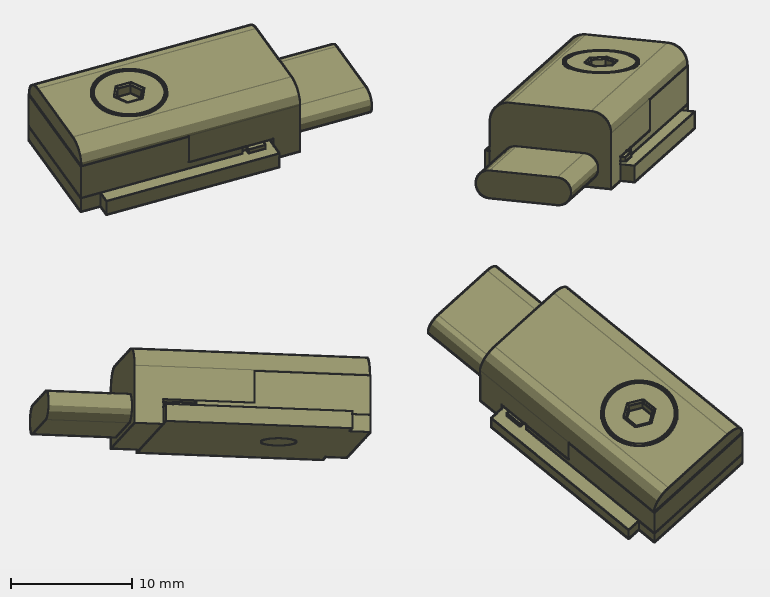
import cadquery as cq

BODY_WIDTH = 10.55
BODY_HEIGHT = 6.6
BODY_LENGTH = 19.8
EDGE_RADIUS = 1.75
FRONT_SETBACK = 0.05

PLATE_THICKNESS = 1.45
PLATE_LENGTH = 17.4
FLANGE_WIDTH = 13.0
FLANGE_FRONT = 1.77

PLUG_WIDTH = 8.3
PLUG_THICKNESS = 2.4
PLUG_END = 26.8
PLUG_START = 14.83
PLUG_CENTRE_Z = 1.7

BOARD_THICKNESS = 0.4
EAR_SPAN = 10.9
EAR_FRONT = 15.1
EAR_BACK = 16.62
BOARD_WIDTH = 9.92

SEAM_DROP = 0.08
SPACER_TOP = BODY_HEIGHT - EDGE_RADIUS - SEAM_DROP
SPACER_LENGTH = 9.75
TONGUE_TOP = 2.1
TONGUE_END = 14.6

SCREW_Y = 6.73
HEAD_DIAMETER = 6.1
HEAD_HEIGHT = 1.35
HEAD_CHAMFER = 0.13
HEAD_HOLE_DIAMETER = 6.3
SHANK_DIAMETER = 2.92
SHANK_HOLE_DIAMETER = 3.08
HEX_ACROSS_FLATS = 2.0
HEX_MOUTH_ACROSS_FLATS = 2.39
HEX_CHAMFER_DEPTH = 0.13
HEX_DEPTH = 1.0
HEX_CORNER_RATIO = 2 / 3 ** 0.5


def block(width, y_start, y_end, z_start, z_end):
    """Box centred on X between the given Y and Z limits."""
    size = (width, y_end - y_start, z_end - z_start)
    box = cq.Workplane("XY").box(*size, centered=(True, False, False))
    return box.translate((0, y_start, z_start))


def screw_cylinder(diameter, z_start, z_end):
    """Upright cylinder on the screw axis."""
    return (
        cq.Workplane("XY", origin=(0, SCREW_Y, z_start))
        .circle(diameter / 2)
        .extrude(z_end - z_start)
    )


def make_plug():
    return (
        cq.Workplane("XZ", origin=(0, PLUG_END, PLUG_CENTRE_Z))
        .slot2D(PLUG_WIDTH, PLUG_THICKNESS)
        .extrude(PLUG_END - PLUG_START)
    )


def hexagon(z, across_flats):
    """Hexagon outline on the screw axis, with two flats parallel to Y."""
    plane = cq.Workplane("XY", origin=(0, SCREW_Y, z)).transformed(rotate=(0, 0, 90))
    return plane.polygon(6, across_flats * HEX_CORNER_RATIO)


def make_screw():
    head_bottom = BODY_HEIGHT - HEAD_HEIGHT
    head = screw_cylinder(HEAD_DIAMETER, head_bottom, BODY_HEIGHT).faces(">Z").chamfer(HEAD_CHAMFER)
    shank = screw_cylinder(SHANK_DIAMETER, 0, head_bottom)
    socket = hexagon(BODY_HEIGHT - HEX_DEPTH, HEX_ACROSS_FLATS).extrude(HEX_DEPTH)
    mouth = (
        hexagon(BODY_HEIGHT - HEX_CHAMFER_DEPTH, HEX_ACROSS_FLATS)
        .workplane(offset=HEX_CHAMFER_DEPTH)
        .polygon(6, HEX_MOUTH_ACROSS_FLATS * HEX_CORNER_RATIO)
        .loft()
    )
    return head.union(shank).cut(socket).cut(mouth)


def make_cover(plug):
    cover = block(BODY_WIDTH, FRONT_SETBACK, BODY_LENGTH, 0, BODY_HEIGHT)
    cover = cover.edges("|Y and >Z").fillet(EDGE_RADIUS)
    spacer_room = block(BODY_WIDTH, 0, SPACER_LENGTH, 0, SPACER_TOP)
    tongue_room = block(BODY_WIDTH, 0, PLATE_LENGTH, 0, TONGUE_TOP)
    head_hole = screw_cylinder(HEAD_HOLE_DIAMETER, BODY_HEIGHT - HEAD_HEIGHT, BODY_HEIGHT)
    shank_hole = screw_cylinder(SHANK_HOLE_DIAMETER, 0, BODY_HEIGHT)
    return cover.cut(spacer_room).cut(tongue_room).cut(head_hole).cut(shank_hole).cut(plug)


def make_base_plate(plug):
    centre = block(BODY_WIDTH, 0, PLATE_LENGTH, 0, PLATE_THICKNESS)
    flanges = block(FLANGE_WIDTH, FLANGE_FRONT, PLATE_LENGTH, 0, PLATE_THICKNESS)
    screw_hole = screw_cylinder(SHANK_DIAMETER, 0, PLATE_THICKNESS)
    return centre.union(flanges).cut(screw_hole).cut(plug)


def make_board(plug):
    board_top = PLATE_THICKNESS + BOARD_THICKNESS
    strip = block(BOARD_WIDTH, TONGUE_END, EAR_BACK, PLATE_THICKNESS, board_top)
    ears = block(EAR_SPAN, EAR_FRONT, EAR_BACK, PLATE_THICKNESS, board_top)
    return strip.union(ears).cut(plug)


def make_spacer():
    tall = block(BODY_WIDTH, 0, SPACER_LENGTH, PLATE_THICKNESS, SPACER_TOP)
    tongue = block(BODY_WIDTH, 0, TONGUE_END, PLATE_THICKNESS, TONGUE_TOP)
    shank_hole = screw_cylinder(SHANK_HOLE_DIAMETER, PLATE_THICKNESS, SPACER_TOP)
    return tall.union(tongue).cut(shank_hole)


plug = make_plug()
screw = make_screw()
cover = make_cover(plug)
base_plate = make_base_plate(plug)
board = make_board(plug)
spacer = make_spacer()

bodies = [cover, spacer, base_plate, plug, board, screw]
result = cq.Compound.makeCompound([body.solids().val() for body in bodies])